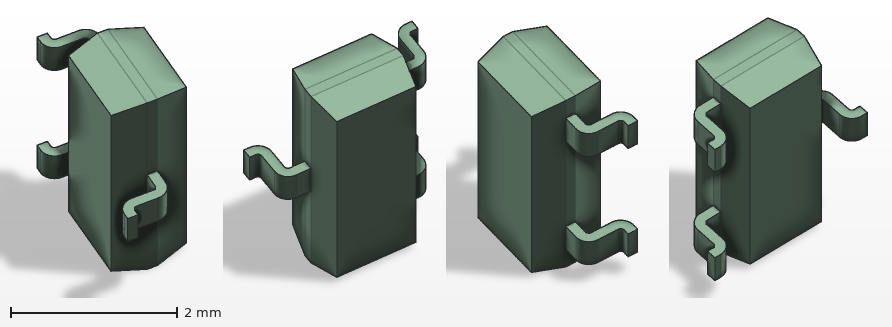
import cadquery as cq
import math


body_width = 1.30
body_length = 2.92
half_depth = 0.44
draft_angle = 12.0
standoff = 0.10

lead_thickness = 0.14
lead_width = 0.40
lead_pitch = 1.90
lead_span = 2.37
foot_flat = 0.085
inner_bend_radius = 0.05
outer_bend_radius = inner_bend_radius + lead_thickness

band_bottom = standoff + half_depth
band_top = band_bottom + lead_thickness

body_side = body_width / 2
foot_tip = lead_span / 2
foot_bend_center = foot_tip - foot_flat
shoulder_bend_center = foot_bend_center - inner_bend_radius - outer_bend_radius

foot_bend_height = outer_bend_radius
shoulder_bend_height = band_top - outer_bend_radius

shoulder_bisector = 45
foot_bisector = 45 + 180


def arc_middle(center_x, center_y, radius, angle):
    """Point on a bend at the given angle in degrees."""
    turn = math.radians(angle)
    return center_x + radius * math.cos(turn), center_y + radius * math.sin(turn)


def make_body():
    """Straight parting band between two tapered halves."""
    band = (
        cq.Workplane("XZ", origin=(0, band_top, 0))
        .rect(body_width, body_length)
        .extrude(lead_thickness)
    )
    lower_half = (
        cq.Workplane("XZ", origin=(0, band_bottom, 0))
        .rect(body_width, body_length)
        .extrude(half_depth, taper=draft_angle)
    )
    upper_half = lower_half.mirror("XZ", (0, (band_bottom + band_top) / 2, 0))
    return band.union(lower_half).union(upper_half).solids()


def make_lead(side, center_z):
    """Gull-wing lead butting against the band; side is -1 for -X or +1 for +X."""
    foot_inner_face = foot_bend_center - outer_bend_radius
    shoulder_outer_face = shoulder_bend_center + outer_bend_radius
    lead = (
        cq.Workplane("XY", origin=(0, 0, center_z))
        .moveTo(body_side, band_top)
        .lineTo(shoulder_bend_center, band_top)
        .threePointArc(
            arc_middle(shoulder_bend_center, shoulder_bend_height, outer_bend_radius, shoulder_bisector),
            (shoulder_outer_face, shoulder_bend_height),
        )
        .lineTo(shoulder_outer_face, foot_bend_height)
        .threePointArc(
            arc_middle(foot_bend_center, foot_bend_height, inner_bend_radius, foot_bisector),
            (foot_bend_center, lead_thickness),
        )
        .lineTo(foot_tip, lead_thickness)
        .lineTo(foot_tip, 0)
        .lineTo(foot_bend_center, 0)
        .threePointArc(
            arc_middle(foot_bend_center, foot_bend_height, outer_bend_radius, foot_bisector),
            (foot_inner_face, foot_bend_height),
        )
        .lineTo(foot_inner_face, shoulder_bend_height)
        .threePointArc(
            arc_middle(shoulder_bend_center, shoulder_bend_height, inner_bend_radius, shoulder_bisector),
            (shoulder_bend_center, band_bottom),
        )
        .lineTo(body_side, band_bottom)
        .close()
        .extrude(lead_width / 2, both=True)
    )
    return lead if side > 0 else lead.mirror("YZ")


lead_places = [(-1, -lead_pitch / 2), (-1, lead_pitch / 2), (1, 0)]

body = make_body()
leads = [make_lead(side, center_z) for side, center_z in lead_places]

result = cq.Compound.makeCompound([body.val(), *[lead.val() for lead in leads]])